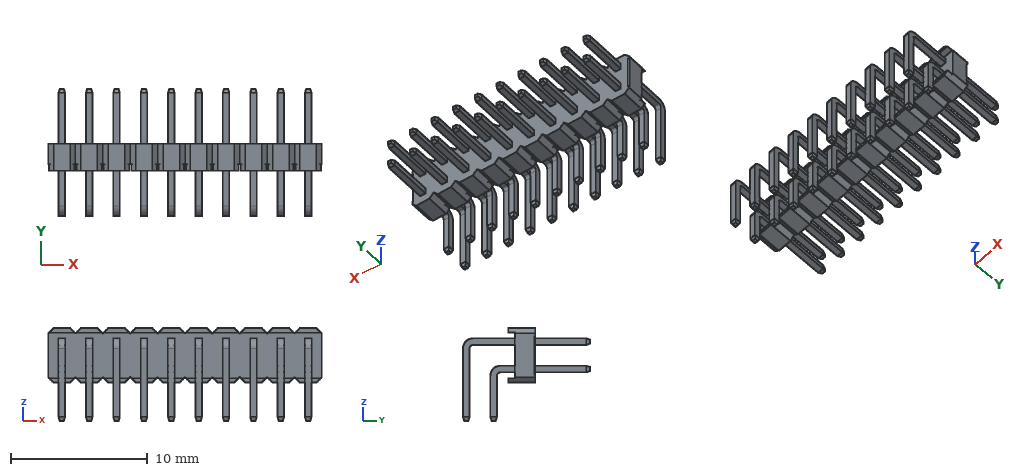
import cadquery as cq

columns = 10
pitch = 2.0
rows = 2

length = columns * pitch
depth = pitch
height = rows * pitch

lobe_chamfer = 0.4
recess_depth = 0.5
lip_height = 0.35
corner_chamfer = 0.1
corner_margin = 0.6

pin_width = 0.5
rear_reach = 4.0
lower_front_reach = 1.3
leg_drop = 2.8
bend_inner_radius = pin_width / 2
bend_outer_radius = bend_inner_radius + pin_width
tip_length = 0.3
tip_inset = 0.1


def make_housing():
    """Block with lobed top and bottom, a front recess and bevelled rear corners."""
    housing = cq.Workplane("XY").box(length, depth, height, centered=False)

    groove = (
        cq.Workplane("XZ")
        .moveTo(-lobe_chamfer, 0)
        .lineTo(lobe_chamfer, 0)
        .lineTo(0, lobe_chamfer)
        .close()
        .extrude(-depth)
    )
    for index in range(columns + 1):
        bottom_groove = groove.translate((index * pitch, 0, 0))
        top_groove = bottom_groove.mirror("XY", (0, 0, height / 2))
        housing = housing.cut(bottom_groove).cut(top_groove)

    recess = cq.Workplane("XY").box(length, recess_depth, height - 2 * lip_height, centered=False)
    housing = housing.cut(recess.translate((0, 0, lip_height)))

    corner_bevel = (
        cq.Workplane("XY", origin=(0, depth, corner_margin))
        .polyline([(0, 0), (corner_chamfer, 0), (0, -corner_chamfer)])
        .close()
        .extrude(height - 2 * corner_margin)
    )
    opposite_bevel = corner_bevel.mirror("YZ", (length / 2, 0, 0))
    return housing.cut(corner_bevel).cut(opposite_bevel)


def make_tip(base_plane):
    """Tapered square pin tip growing along the normal of the given plane."""
    end_width = pin_width - 2 * tip_inset
    return (
        cq.Workplane(base_plane)
        .rect(pin_width, pin_width)
        .workplane(offset=tip_length)
        .rect(end_width, end_width)
        .loft(ruled=True)
    )


def make_pin(row):
    """Right-angle pin of the given row, centred on X = 0."""
    axis_z = (row + 0.5) * pitch
    leg_front_y = -lower_front_reach - row * pitch
    leg_axis_y = leg_front_y + pin_width / 2
    top_z = axis_z + pin_width / 2
    rear_y = depth + rear_reach - tip_length
    bottom_z = -leg_drop + tip_length

    shank = (
        cq.Workplane("YZ", origin=(-pin_width / 2, 0, 0))
        .moveTo(rear_y, top_z)
        .lineTo(leg_front_y + bend_outer_radius, top_z)
        .radiusArc((leg_front_y, top_z - bend_outer_radius), -bend_outer_radius)
        .lineTo(leg_front_y, bottom_z)
        .lineTo(leg_front_y + pin_width, bottom_z)
        .lineTo(leg_front_y + pin_width, top_z - bend_outer_radius)
        .radiusArc((leg_front_y + bend_outer_radius, top_z - pin_width), bend_inner_radius)
        .lineTo(rear_y, top_z - pin_width)
        .close()
        .extrude(pin_width)
    )
    rear_tip = make_tip(cq.Plane((0, rear_y, axis_z), xDir=(1, 0, 0), normal=(0, 1, 0)))
    bottom_tip = make_tip(cq.Plane((0, leg_axis_y, bottom_z), xDir=(1, 0, 0), normal=(0, 0, -1)))
    return shank.union(rear_tip).union(bottom_tip)


result = make_housing()
for row in range(rows):
    pin = make_pin(row)
    for column in range(columns):
        result = result.union(pin.translate(((column + 0.5) * pitch, 0, 0)))